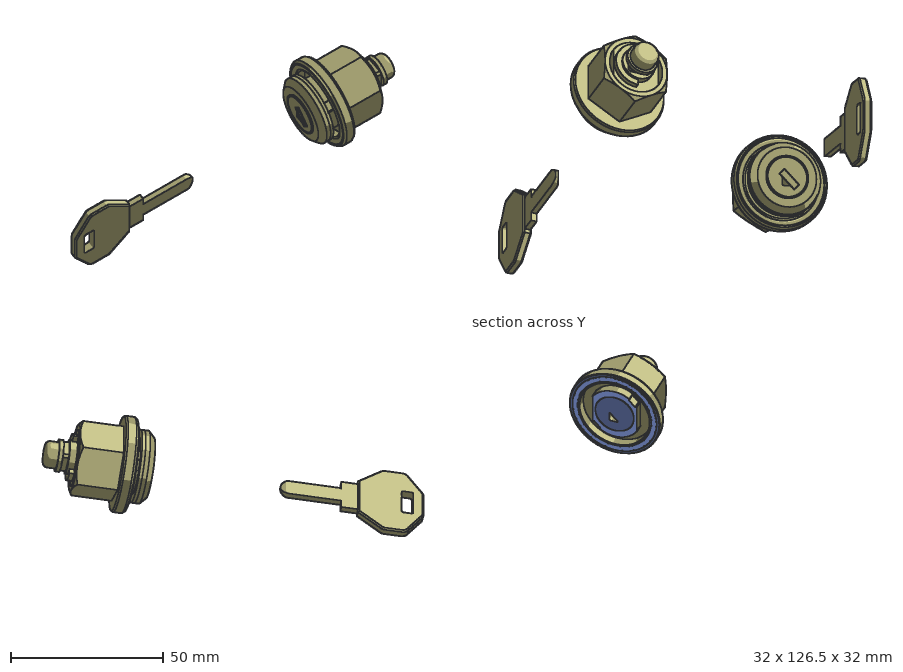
import cadquery as cq
import math


PLUG_FRONT = -0.4
HEAD_FRONT = 3.5
HEAD_REAR = 4.7
BEZEL_FRONT = 6.5
BEZEL_REAR = 10.7
NUT_REAR = 25.2
STOP_REAR = 26.8
COLLAR_REAR = 27.6
SQUARE_REAR = 29.6
SCREW_FLANGE_REAR = 31.0
SCREW_REAR = 35.3

HEAD_RADIUS = 12.1
BARREL_RADIUS = 9.4
BARREL_FLAT = 7.8
BARREL_SLOT_WIDTH = 3.3
BARREL_SLOT_FLOOR = 8.7
BARREL_SLOT_ANGLE = 45
STOP_RADIUS = 7.7
STOP_GAP_START = 161
STOP_GAP_END = 270

CAP_CHAMFER = 2.0
CAP_RIM_RADIUS = 7.2

PLUG_RADIUS = 6.7
PLUG_REAR = 22.8
COLLAR_RADIUS = 5.7
SQUARE_SIDE = 7.6
SQUARE_CORNER_RADIUS = 4.8
KEYHOLE_LENGTH = 7.1
KEYHOLE_WIDTH = 2.4
KEYHOLE_OFFSET = 1.0
KEYHOLE_ANGLE = -45
KEYHOLE_DEPTH = 0.3
SIDE_NOTCH_DEPTH = 15.2
SIDE_NOTCH_LEFT = -1.8
SIDE_NOTCH_BOTTOM = -3.0
SIDE_NOTCH_SIDE = 3.0
SIDE_NOTCH_FILLET = 0.6

NUT_ACROSS_FLATS = 22.0
NUT_CHAMFER_ANGLE = 30

BEZEL_DIAMETER = 32.0
BEZEL_RADIUS = BEZEL_DIAMETER / 2
BEZEL_FRONT_CHAMFER = 0.9
BEZEL_FRONT_CHAMFER_WIDTH = 0.6
BEZEL_REAR_CHAMFER = 0.6
BEZEL_REAR_CHAMFER_WIDTH = 0.4
BEZEL_FLOOR = 10.1
BEZEL_LEDGE = 7.1
BEZEL_RECESS_RADIUS = 12.3
SEAL_RADIUS = 13.9
SEAL_TUBE_RADIUS = 0.9
SEAL_FRONT = 6.1

SCREW_HEAD_RADIUS = 4.4
SCREW_FLANGE_RADIUS = 5.3
SCREW_HEAD_FILLET = 1.6
SHANK_RADIUS = 2.0
SHANK_LENGTH = 7.6

KEY_Z = -1.3
KEY_TIP = -43.5
KEY_SHOULDER = -63.7
BOW_START = -69.3
BOW_WIDE_START = -77.5
BOW_WIDE_END = -85.2
BOW_END = -91.2
BLADE_THICKNESS = 2.0
BLADE_HALF_HEIGHT = 3.0
TIP_THICKNESS = 0.9
TIP_BEVEL = 1.8
SHOULDER_HALF_HEIGHT = 6.1
BOW_THICKNESS = 2.9
BOW_CHAMFER = 0.5
BOW_START_HALF_HEIGHT = 7.5
BOW_HALF_HEIGHT = 14.2
BOW_END_HALF_HEIGHT = 5.3
BOW_CORNER_FILLET = 2.3
BOW_SLOT_CENTRE = -85.7
BOW_SLOT_WIDTH = 3.9
BOW_SLOT_HEIGHT = 10.1
BOW_SLOT_FILLET = 0.8


def lathe(points):
    """Solid of revolution about the Y axis from (radius, y) points."""
    return cq.Workplane("XY").polyline(points).close().revolve(360, (0, 0, 0), (0, 1, 0))


def disc(radius, start, end):
    """Cylinder about the Y axis between two stations."""
    return lathe([(0, start), (radius, start), (radius, end), (0, end)])


def section(y):
    """Sketch plane across the lock axis at y; drawn in X and Z, extruded towards +Y by a negative length."""
    return cq.Workplane("XZ", origin=(0, y, 0))


def barrel(start, end):
    """Round bar with two flats facing -X and +X."""
    length = end - start
    flats = section(start).rect(2 * BARREL_FLAT, 2 * BARREL_RADIUS).extrude(-length)
    return disc(BARREL_RADIUS, start, end).intersect(flats)


def make_plug():
    plug = lathe([
        (0, PLUG_FRONT),
        (PLUG_RADIUS, PLUG_FRONT),
        (PLUG_RADIUS, PLUG_REAR),
        (COLLAR_RADIUS, PLUG_REAR),
        (COLLAR_RADIUS, COLLAR_REAR),
        (0, COLLAR_REAR),
    ])
    square_length = SQUARE_REAR - COLLAR_REAR
    square = section(COLLAR_REAR).rect(SQUARE_SIDE, SQUARE_SIDE).extrude(-square_length)
    square = square.intersect(disc(SQUARE_CORNER_RADIUS, COLLAR_REAR, SQUARE_REAR))
    return plug.union(square).cut(make_keyhole()).cut(make_shank())


def make_keyhole():
    slot = (
        section(PLUG_FRONT)
        .transformed(rotate=(0, 0, KEYHOLE_ANGLE))
        .center(KEYHOLE_OFFSET, 0)
        .rect(KEYHOLE_LENGTH, KEYHOLE_WIDTH)
        .extrude(-KEYHOLE_DEPTH)
    )
    left, bottom, side = SIDE_NOTCH_LEFT, SIDE_NOTCH_BOTTOM, SIDE_NOTCH_SIDE
    notch = (
        section(PLUG_FRONT)
        .polyline([(left, bottom), (left + side, bottom), (left, bottom + side)])
        .close()
        .extrude(-SIDE_NOTCH_DEPTH)
        .edges(cq.selectors.NearestToPointSelector((left, PLUG_FRONT + SIDE_NOTCH_DEPTH / 2, bottom)))
        .fillet(SIDE_NOTCH_FILLET)
    )
    return slot.union(notch)


def make_shank():
    return disc(SHANK_RADIUS, SQUARE_REAR - SHANK_LENGTH, SQUARE_REAR)


def make_screw():
    flange = disc(SCREW_FLANGE_RADIUS, SQUARE_REAR, SCREW_FLANGE_REAR)
    head = disc(SCREW_HEAD_RADIUS, SCREW_FLANGE_REAR, SCREW_REAR).faces(">Y").edges().fillet(SCREW_HEAD_FILLET)
    return flange.union(head).union(make_shank())


def make_stop_gap():
    """Wedge of the stop ring that is cut away to let the cam swing."""
    reach = 2 * STOP_RADIUS
    middle = (STOP_GAP_START + STOP_GAP_END) / 2
    corners = [
        (reach * math.cos(math.radians(angle)), reach * math.sin(math.radians(angle)))
        for angle in (STOP_GAP_START, middle, STOP_GAP_END)
    ]
    return section(NUT_REAR).polyline([(0, 0), *corners]).close().extrude(NUT_REAR - STOP_REAR)


def make_housing():
    flange = disc(HEAD_RADIUS, HEAD_FRONT, HEAD_REAR)
    stop_ring = disc(STOP_RADIUS, NUT_REAR, STOP_REAR).cut(make_stop_gap())
    bore = disc(PLUG_RADIUS, HEAD_FRONT, PLUG_REAR).union(disc(COLLAR_RADIUS, PLUG_REAR, STOP_REAR))
    body = flange.union(barrel(HEAD_REAR, NUT_REAR).cut(make_barrel_slots()))
    return body.union(stop_ring).cut(bore)


def make_barrel_slots():
    """Two opposite shallow slots along the barrel, between its flats."""
    return (
        section(HEAD_REAR)
        .transformed(rotate=(0, 0, BARREL_SLOT_ANGLE))
        .pushPoints([(BARREL_RADIUS, 0), (-BARREL_RADIUS, 0)])
        .rect(2 * (BARREL_RADIUS - BARREL_SLOT_FLOOR), BARREL_SLOT_WIDTH)
        .extrude(HEAD_REAR - BEZEL_FLOOR)
    )


def make_cap():
    return lathe([
        (PLUG_RADIUS, PLUG_FRONT),
        (CAP_RIM_RADIUS, PLUG_FRONT),
        (CAP_RIM_RADIUS, 0),
        (HEAD_RADIUS - CAP_CHAMFER, 0),
        (HEAD_RADIUS, CAP_CHAMFER),
        (HEAD_RADIUS, HEAD_FRONT),
        (PLUG_RADIUS, HEAD_FRONT),
    ])


def make_bezel():
    groove_floor = SEAL_FRONT + 2 * SEAL_TUBE_RADIUS
    groove_inner = SEAL_RADIUS - SEAL_TUBE_RADIUS
    groove_outer = SEAL_RADIUS + SEAL_TUBE_RADIUS
    cup = lathe([
        (0, BEZEL_FLOOR),
        (BEZEL_RECESS_RADIUS, BEZEL_FLOOR),
        (BEZEL_RECESS_RADIUS, BEZEL_LEDGE),
        (groove_inner, BEZEL_LEDGE),
        (groove_inner, groove_floor),
        (groove_outer, groove_floor),
        (groove_outer, BEZEL_FRONT),
        (BEZEL_RADIUS - BEZEL_FRONT_CHAMFER_WIDTH, BEZEL_FRONT),
        (BEZEL_RADIUS, BEZEL_FRONT + BEZEL_FRONT_CHAMFER),
        (BEZEL_RADIUS, BEZEL_REAR - BEZEL_REAR_CHAMFER),
        (BEZEL_RADIUS - BEZEL_REAR_CHAMFER_WIDTH, BEZEL_REAR),
        (0, BEZEL_REAR),
    ])
    return cup.cut(barrel(BEZEL_FLOOR, BEZEL_REAR))


def make_seal():
    tube = cq.Workplane("XY").center(SEAL_RADIUS, SEAL_FRONT + SEAL_TUBE_RADIUS).circle(SEAL_TUBE_RADIUS)
    return tube.revolve(360, (-SEAL_RADIUS, 0, 0), (-SEAL_RADIUS, 1, 0))


def make_nut():
    length = NUT_REAR - BEZEL_REAR
    corner_radius = NUT_ACROSS_FLATS / math.sqrt(3)
    hexagon = (
        section(BEZEL_REAR)
        .transformed(rotate=(0, 0, 90))
        .polygon(6, 2 * corner_radius)
        .extrude(-length)
    )
    flat_radius = NUT_ACROSS_FLATS / 2
    chamfer_depth = (corner_radius - flat_radius) * math.tan(math.radians(NUT_CHAMFER_ANGLE))
    envelope = lathe([
        (0, BEZEL_REAR),
        (corner_radius, BEZEL_REAR),
        (corner_radius, NUT_REAR - chamfer_depth),
        (flat_radius, NUT_REAR),
        (0, NUT_REAR),
    ])
    return hexagon.intersect(envelope).cut(disc(BARREL_RADIUS, BEZEL_REAR, NUT_REAR))


def key_plate(points, thickness):
    """Plate centred on the key plane, from (y, z) points."""
    plane = cq.Workplane("YZ", origin=(0, 0, KEY_Z))
    return plane.polyline(points).close().extrude(thickness / 2, both=True)


def mirrored(points):
    """Closed outline made of the points and their mirror image below the key's centre line."""
    return points + [(y, -z) for y, z in reversed(points)]


def make_blade():
    round_start = KEY_TIP - BLADE_HALF_HEIGHT
    blade = (
        cq.Workplane("YZ", origin=(0, 0, KEY_Z))
        .moveTo(BOW_START, SHOULDER_HALF_HEIGHT)
        .lineTo(KEY_SHOULDER, SHOULDER_HALF_HEIGHT)
        .lineTo(KEY_SHOULDER, BLADE_HALF_HEIGHT)
        .lineTo(round_start, BLADE_HALF_HEIGHT)
        .threePointArc((KEY_TIP, 0), (round_start, -BLADE_HALF_HEIGHT))
        .lineTo(KEY_SHOULDER, -BLADE_HALF_HEIGHT)
        .lineTo(KEY_SHOULDER, -SHOULDER_HALF_HEIGHT)
        .lineTo(BOW_START, -SHOULDER_HALF_HEIGHT)
        .close()
        .extrude(BLADE_THICKNESS / 2, both=True)
    )
    taper = (
        cq.Workplane("XY", origin=(0, 0, KEY_Z))
        .polyline([
            (-BLADE_THICKNESS / 2, BOW_START),
            (BLADE_THICKNESS / 2, BOW_START),
            (BLADE_THICKNESS / 2, KEY_TIP - TIP_BEVEL),
            (TIP_THICKNESS / 2, KEY_TIP),
            (-TIP_THICKNESS / 2, KEY_TIP),
            (-BLADE_THICKNESS / 2, KEY_TIP - TIP_BEVEL),
        ])
        .close()
        .extrude(SHOULDER_HALF_HEIGHT, both=True)
    )
    return blade.intersect(taper)


def make_bow():
    outline = mirrored([
        (BOW_START, BOW_START_HALF_HEIGHT),
        (BOW_WIDE_START, BOW_HALF_HEIGHT),
        (BOW_WIDE_END, BOW_HALF_HEIGHT),
        (BOW_END, BOW_END_HALF_HEIGHT),
    ])
    slot = (
        cq.Workplane("YZ", origin=(0, 0, KEY_Z))
        .center(BOW_SLOT_CENTRE, 0)
        .rect(BOW_SLOT_WIDTH, BOW_SLOT_HEIGHT)
        .extrude(BOW_THICKNESS, both=True)
        .edges("|X")
        .fillet(BOW_SLOT_FILLET)
    )
    plate = key_plate(outline, BOW_THICKNESS)
    plate = plate.faces("<Y or <Z or >Z").edges("|X").fillet(BOW_CORNER_FILLET)
    return plate.faces("<X or >X").edges().chamfer(BOW_CHAMFER).cut(slot)


def make_key():
    return make_blade().union(make_bow())


housing = make_housing()
cap = make_cap()
plug = make_plug()
screw = make_screw()
nut = make_nut()
bezel = make_bezel()
seal = make_seal()
key = make_key()

result = cq.Compound.makeCompound([
    housing.val(),
    cap.val(),
    plug.val(),
    screw.val(),
    nut.val(),
    bezel.val(),
    seal.val(),
    key.val(),
])